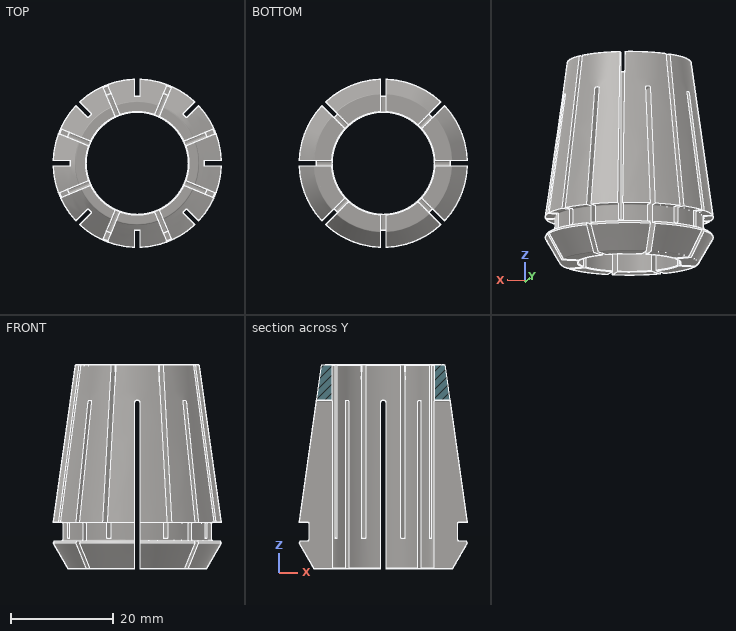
import cadquery as cq
import math

height = 40.0
max_radius = 16.5
bore_radius = 10.0

taper_angle = 8.0
taper_start = 9.1
top_fillet = 0.25
bore_chamfer = 0.15

groove_radius = 14.6
flange_top = 5.5
flange_chamfer_height = 0.45
flange_chamfer_width = 0.25
groove_fillet = 0.2
nose_fillet = 0.2
nose_angle = 30.0

slot_width = 1.0
slot_corner_radius = 0.4
slots_per_end = 8
bottom_slot_end = 33.0
top_slot_end = 5.9

taper_slope = math.tan(math.radians(taper_angle))
nose_height = flange_top - flange_chamfer_height
nose_radius = max_radius - nose_height * math.tan(math.radians(nose_angle))
top_radius = max_radius - (height - taper_start) * taper_slope
slot_pitch = 360.0 / slots_per_end


def make_body():
    """Revolve the half section of the tapered sleeve about Z and round its outer end edges."""
    body = (
        cq.Workplane("XZ")
        .moveTo(bore_radius + bore_chamfer, 0)
        .lineTo(nose_radius, 0)
        .lineTo(max_radius, nose_height)
        .lineTo(max_radius - flange_chamfer_width, flange_top)
        .lineTo(groove_radius + groove_fillet, flange_top)
        .radiusArc((groove_radius, flange_top + groove_fillet), groove_fillet)
        .lineTo(groove_radius, taper_start - groove_fillet)
        .radiusArc((groove_radius + groove_fillet, taper_start), groove_fillet)
        .lineTo(max_radius, taper_start)
        .lineTo(top_radius, height)
        .lineTo(bore_radius + bore_chamfer, height)
        .lineTo(bore_radius, height - bore_chamfer)
        .lineTo(bore_radius, bore_chamfer)
        .close()
        .revolve(360, (0, 0, 0), (0, 1, 0))
    )
    outermost = cq.selectors.RadiusNthSelector(-1)
    body = body.faces("<Z").edges(outermost).fillet(nose_fillet)
    return body.faces(">Z").edges(outermost).fillet(top_fillet)


def make_slot(open_end, closed_end):
    """Radial slot along +X, open at one height, with filleted corners at its closed end."""
    half_width = slot_width / 2
    closed_face = "<Z" if closed_end < open_end else ">Z"
    return (
        cq.Workplane("YZ")
        .moveTo(-half_width, open_end)
        .lineTo(-half_width, closed_end)
        .lineTo(half_width, closed_end)
        .lineTo(half_width, open_end)
        .close()
        .extrude(max_radius + slot_width)
        .faces(closed_face)
        .edges("|X")
        .fillet(slot_corner_radius)
    )


def cut_slots(body, slot, first_angle):
    """Cut evenly spaced copies of a slot through the wall."""
    for index in range(slots_per_end):
        angle = first_angle + index * slot_pitch
        body = body.cut(slot.rotate((0, 0, 0), (0, 0, 1), angle))
    return body


collet = make_body()
collet = cut_slots(collet, make_slot(0, bottom_slot_end), 0)
collet = cut_slots(collet, make_slot(height, top_slot_end), slot_pitch / 2)

result = collet